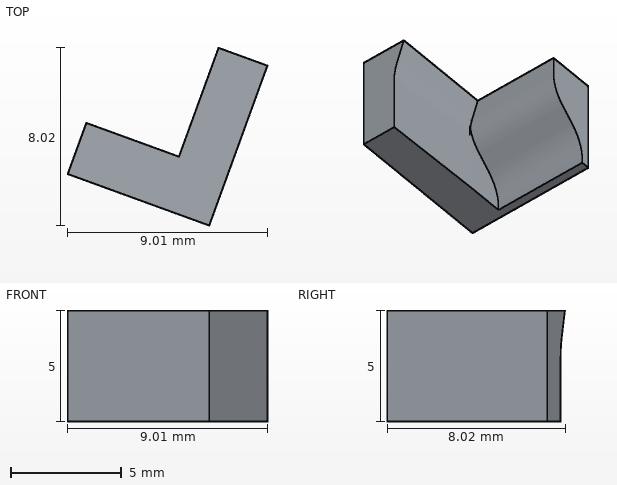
import cadquery as cq
import math

height = 5.0
overall_length = 9.01
turn_angle = 20.0
turn = math.radians(turn_angle)
long_outer = 7.68
short_outer = (overall_length - long_outer * math.sin(turn)) / math.cos(turn)
long_width = 2.35
short_width = 2.46
short_inner = short_outer - long_width

lip_height = 0.99
foot_width = 0.44
s_angle = math.radians(46)
upper_radius = 2.03
lower_radius = 2.25

slope_angle = math.radians(19.2)
bend_height = 0.91
slope_height_end = 1.17
slope_height_corner = 0.9


def bend_run(radius, angle):
    """Sideways travel of an arc that starts vertical and turns by angle."""
    return radius * (1 - math.cos(angle))


bend_radius = bend_height / math.sin(slope_angle)


def undercut_depth(slope_height):
    """Depth reached by the slope and the bend that brings it back to vertical."""
    return slope_height * math.tan(slope_angle) + bend_run(bend_radius, slope_angle)


def l_block():
    return (
        cq.Workplane("XY")
        .polyline([
            (0, 0),
            (short_outer, 0),
            (short_outer, long_outer),
            (short_inner, long_outer),
            (short_inner, short_width),
            (0, short_width),
        ])
        .close()
        .extrude(height)
    )


def short_arm_undercut():
    """S-profile in YZ, cut through to the undercut wall of the long arm."""
    upper_y = short_width - bend_run(upper_radius, s_angle)
    upper_z = height - lip_height - upper_radius * math.sin(s_angle)
    lower_y = foot_width + bend_run(lower_radius, s_angle)
    lower_z = upper_z - (upper_y - lower_y) / math.tan(s_angle)
    foot_z = lower_z - lower_radius * math.sin(s_angle)
    upper_mid = (
        short_width - bend_run(upper_radius, s_angle / 2),
        height - lip_height - upper_radius * math.sin(s_angle / 2),
    )
    lower_mid = (
        foot_width + bend_run(lower_radius, s_angle / 2),
        foot_z + lower_radius * math.sin(s_angle / 2),
    )
    return (
        cq.Workplane("YZ")
        .moveTo(short_width, 0)
        .lineTo(short_width, height - lip_height)
        .threePointArc(upper_mid, (upper_y, upper_z))
        .lineTo(lower_y, lower_z)
        .threePointArc(lower_mid, (foot_width, foot_z))
        .lineTo(foot_width, 0)
        .close()
        .extrude(short_inner + undercut_depth(slope_height_corner))
    )


def long_arm_section(y, slope_height):
    """Closed XZ section of the long-arm undercut at a place along the arm."""
    depth = undercut_depth(slope_height)
    slope_x = short_inner + slope_height * math.tan(slope_angle)
    slope_z = height - slope_height
    wall_x = short_inner + depth
    wall_z = slope_z - bend_height
    bend_mid = (
        wall_x - bend_run(bend_radius, slope_angle / 2),
        wall_z + bend_radius * math.sin(slope_angle / 2),
    )
    return (
        cq.Workplane("XZ", origin=(0, y, 0))
        .moveTo(short_inner, 0)
        .lineTo(short_inner, height)
        .lineTo(slope_x, slope_z)
        .threePointArc(bend_mid, (wall_x, wall_z))
        .lineTo(wall_x, 0)
        .close()
        .val()
    )


def long_arm_undercut():
    sections = [
        long_arm_section(short_width, slope_height_corner),
        long_arm_section(long_outer, slope_height_end),
    ]
    return cq.Solid.makeLoft(sections, True)


result = (
    l_block()
    .cut(short_arm_undercut())
    .cut(cq.Workplane(long_arm_undercut()))
    .rotate((0, 0, 0), (0, 0, 1), -turn_angle)
)